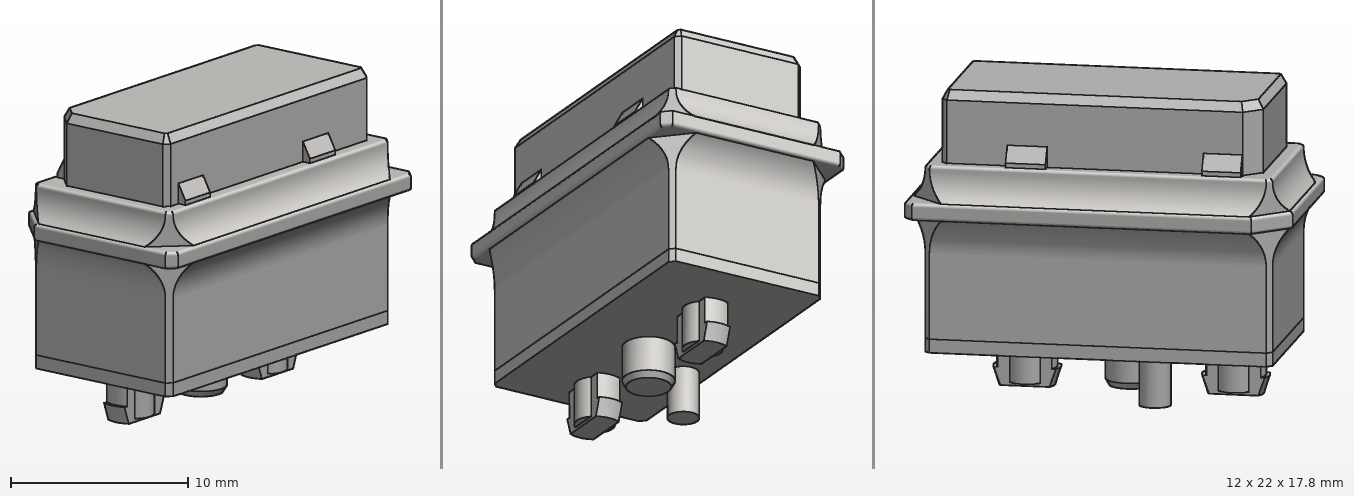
import cadquery as cq
import math


sleeve_top = 10.8
corner_chamfer = 0.3
rim_fillet = 0.2
flange_width = 12.0
flange_length = 22.0
sleeve_width = 9.95
overhang = (flange_width - sleeve_width) / 2
sleeve_length = flange_length - 2 * overhang
flange_bottom = 7.8
flange_top = 8.8
flange_corner = 0.5
flange_key_corner = 2.0
flange_edge_fillet = 0.2
lower_flare_start = 5.76

plate_thickness = 0.8
cap_width = 8.25
cap_length = 18.3
cap_top = 15.0
cap_bevel_height = 0.55
cap_bevel_inset = 0.3
cap_corner = 0.3
cap_key_corner = 1.0
lug_reach = 0.5
lug_height = 1.19
lug_lip = 0.26
lugs = [(4.22, 2.29), (-7.02, 2.22)]

pin_diameter = 1.8
pin_length = 2.8
pin_x = -3.45
pin_y = -3.0
peg_diameter = 3.0
peg_length = 2.45
peg_tip_inset = 0.22
peg_tip_height = 0.37
peg_y = -1.0
clip_spacing = 12.0
clip_thickness = 1.5
clip_length = 2.65
clip_shank_diameter = 3.43
clip_barb_diameter = 3.87
clip_tip_diameter = 3.2
clip_barb_depth = 1.58
clip_core_diameter = 2.3
clip_core_length = peg_length


def cornered_rectangle(width, length, corner, key_corner, base_height):
    """Workplane holding a rectangle with cut corners; the key corner is at -X, -Y."""
    x = width / 2
    y = length / 2
    return cq.Workplane("XY", origin=(0, 0, base_height)).polyline([
        (-x + key_corner, -y), (x - corner, -y), (x, -y + corner), (x, y - corner),
        (x - corner, y), (-x + corner, y), (-x, y - corner), (-x, -y + key_corner),
    ]).close()


def flare_midpoint(wall, rise, reach, direction, tangent_height):
    """Middle of an arc that leaves a vertical wall tangentially and moves outward by reach."""
    radius = (reach**2 + rise**2) / (2 * reach)
    half_angle = math.asin(rise / radius) / 2
    return (
        wall + radius * (1 - math.cos(half_angle)),
        tangent_height + direction * radius * math.sin(half_angle),
    )


def flared_wall(plane, width, depth):
    """Bar whose two opposite sides flare out to the flange from above and below."""
    wall = width / 2
    reach = overhang - flange_edge_fillet
    edge = wall + reach
    upper_start = sleeve_top - rim_fillet
    upper_mid = flare_midpoint(wall, upper_start - flange_top, reach, -1, upper_start)
    lower_mid = flare_midpoint(wall, flange_bottom - lower_flare_start, reach, 1, lower_flare_start)
    return (
        cq.Workplane(plane)
        .moveTo(-wall, plate_thickness)
        .lineTo(wall, plate_thickness)
        .lineTo(wall, lower_flare_start)
        .threePointArc(lower_mid, (edge, flange_bottom))
        .lineTo(edge, flange_top)
        .threePointArc(upper_mid, (wall, upper_start))
        .radiusArc((wall - rim_fillet, sleeve_top), -rim_fillet)
        .lineTo(-wall + rim_fillet, sleeve_top)
        .radiusArc((-wall, upper_start), -rim_fillet)
        .threePointArc((-upper_mid[0], upper_mid[1]), (-edge, flange_top))
        .lineTo(-edge, flange_bottom)
        .threePointArc((-lower_mid[0], lower_mid[1]), (-wall, lower_flare_start))
        .close()
        .extrude(depth / 2, both=True)
    )


def cap_section(base_height):
    return cornered_rectangle(cap_width, cap_length, cap_corner, cap_key_corner, base_height)


def make_sleeve():
    walls = flared_wall("XZ", sleeve_width, flange_length).intersect(
        flared_wall("YZ", sleeve_length, flange_width)
    )

    diagonal = 2 * overhang + corner_chamfer
    corner_planes = (
        cornered_rectangle(flange_width, flange_length, diagonal, diagonal, plate_thickness)
        .extrude(sleeve_top - plate_thickness)
        .faces(">Z").edges().fillet(rim_fillet)
    )
    flange = (
        cornered_rectangle(flange_width, flange_length, flange_corner, flange_key_corner, flange_bottom)
        .extrude(flange_top - flange_bottom)
        .faces("<Z or >Z").edges().fillet(flange_edge_fillet)
    )
    cap_opening = cap_section(plate_thickness).extrude(sleeve_top - plate_thickness)
    return walls.intersect(corner_planes).union(flange).cut(cap_opening)


def make_cap():
    bevel_base = cap_top - cap_bevel_height
    bevel_angle = math.degrees(math.atan(cap_bevel_inset / cap_bevel_height))
    block = cap_section(plate_thickness).extrude(bevel_base - plate_thickness)
    bevel = cap_section(bevel_base).extrude(cap_bevel_height, taper=bevel_angle)
    return block.union(bevel)


def make_lug_pair(center_y, length):
    """Two ramped lugs on opposite sides of the cap, resting on top of the sleeve."""
    wall = cap_width / 2
    tip = wall + lug_reach
    return (
        cq.Workplane("XZ", origin=(0, center_y, sleeve_top))
        .polyline([
            (-tip, 0), (tip, 0), (tip, lug_lip), (wall, lug_height),
            (-wall, lug_height), (-tip, lug_lip),
        ])
        .close()
        .extrude(length / 2, both=True)
    )


def make_pin():
    return cq.Workplane("XY").center(pin_x, pin_y).circle(pin_diameter / 2).extrude(-pin_length)


def make_locating_peg():
    return (
        cq.Workplane("XY").center(0, peg_y).circle(peg_diameter / 2).extrude(-peg_length)
        .faces("<Z").chamfer(peg_tip_height, peg_tip_inset)
    )


def make_clip(center_y):
    """Barbed round peg cut down to a flat blade, with a thinner round core."""
    shank = clip_shank_diameter / 2
    barb = clip_barb_diameter / 2
    tip = clip_tip_diameter / 2
    barbed_peg = (
        cq.Workplane("XZ", origin=(0, center_y, 0))
        .polyline([
            (0, 0), (shank, 0), (shank, -clip_barb_depth), (barb, -clip_barb_depth),
            (tip, -clip_length), (0, -clip_length),
        ])
        .close()
        .revolve()
    )
    blade = (
        cq.Workplane("XY").center(0, center_y)
        .rect(clip_thickness, clip_barb_diameter).extrude(-clip_length)
    )
    core = cq.Workplane("XY").center(0, center_y).circle(clip_core_diameter / 2).extrude(-clip_core_length)
    return barbed_peg.intersect(blade).union(core)


def make_core():
    plate = cornered_rectangle(
        sleeve_width, sleeve_length, corner_chamfer, corner_chamfer, 0
    ).extrude(plate_thickness)
    core = plate.union(make_cap()).union(make_pin()).union(make_locating_peg())
    for center_y, length in lugs:
        core = core.union(make_lug_pair(center_y, length))
    for side in (-1, 1):
        core = core.union(make_clip(peg_y + side * clip_spacing / 2))
    return core


sleeve = make_sleeve()
core = make_core()
result = cq.Compound.makeCompound([sleeve.solids().val(), core.solids().val()])